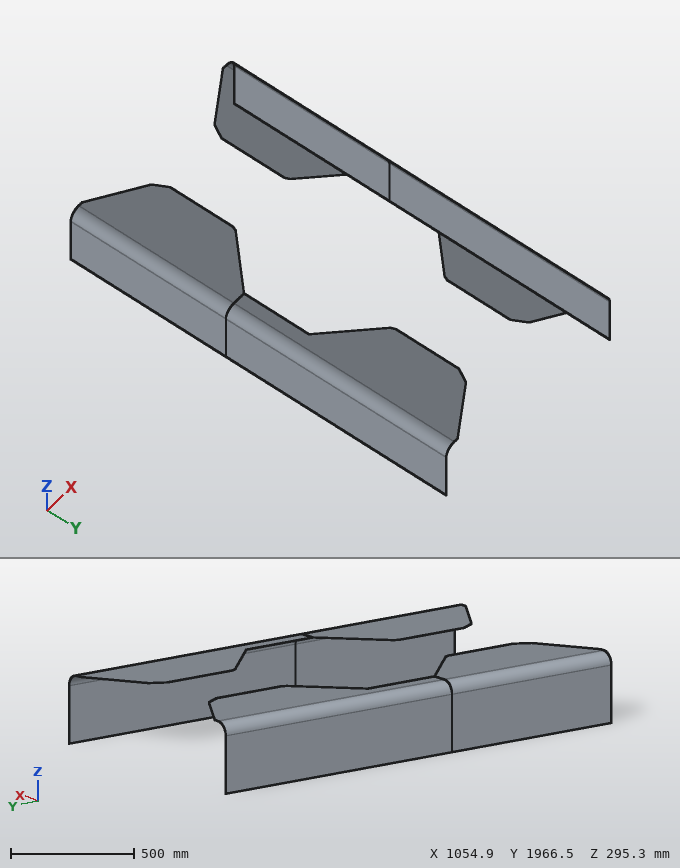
import cadquery as cq

overall_width = 1054.92
overall_length = 1966.55
overall_height = 295.27

thickness = 1.5
inner_bend_radius = 50.8
outer_bend_radius = inner_bend_radius + thickness

flange_reach = 361.8
strip_reach = 118.2
end_reach = 74.5

front_length = 812.6
front_end = -overall_length / 2
rear_end = overall_length / 2
joint = front_end + front_length
strip_length = 340.0
end_taper_length = 183.0

end_corner_chamfer = 44.0
middle_corner_chamfer = 12.7

outer_wall = -overall_width / 2
flange_edge = outer_wall + flange_reach
strip_edge = outer_wall + strip_reach
end_edge = outer_wall + end_reach
diagonal_run = flange_reach - strip_reach


def bent_sheet(start, end):
    """Left-hand angle sheet with a rounded bend and a full-width top flange."""
    sheet = (
        cq.Workplane("XZ", origin=(0, end, 0))
        .moveTo(outer_wall, 0)
        .lineTo(outer_wall, overall_height - outer_bend_radius)
        .radiusArc((outer_wall + outer_bend_radius, overall_height), outer_bend_radius)
        .lineTo(flange_edge, overall_height)
        .lineTo(flange_edge, overall_height - thickness)
        .lineTo(outer_wall + outer_bend_radius, overall_height - thickness)
        .radiusArc((outer_wall + thickness, overall_height - outer_bend_radius), -inner_bend_radius)
        .lineTo(outer_wall + thickness, 0)
        .close()
    )
    return sheet.extrude(end - start)


def trim_flange(sheet, outer_end, strip_end, inner_end, direction):
    """Cut the sheet to the lobe outline; direction points from the middle to the outer end."""
    taper_end = outer_end - direction * end_taper_length
    diagonal_end = strip_end + direction * diagonal_run
    blank = (
        cq.Workplane("XY")
        .moveTo(outer_wall, outer_end)
        .lineTo(end_edge, outer_end)
        .lineTo(flange_edge, taper_end)
        .lineTo(flange_edge, diagonal_end)
        .lineTo(strip_edge, strip_end)
    )
    if inner_end != strip_end:
        blank = blank.lineTo(strip_edge, inner_end)
    blank = blank.lineTo(outer_wall, inner_end).close().extrude(overall_height)
    blank = cut_corner(blank, flange_edge, taper_end, end_corner_chamfer)
    blank = cut_corner(blank, flange_edge, diagonal_end, middle_corner_chamfer)
    return sheet.intersect(blank)


def cut_corner(blank, x, y, chamfer):
    """Chamfer the vertical edge of the blank that stands at (x, y)."""
    corner = cq.selectors.NearestToPointSelector((x, y, overall_height / 2))
    return blank.edges("|Z").edges(corner).chamfer(chamfer)


def front_sheet():
    """Short sheet, whose diagonal starts right at the joint."""
    return trim_flange(bent_sheet(front_end, joint), front_end, joint, joint, -1)


def rear_sheet():
    """Long sheet, with a narrow strip between its diagonal and the joint."""
    sheet = bent_sheet(joint, rear_end)
    return trim_flange(sheet, rear_end, joint + strip_length, joint, 1)


bodies = []
for sheet in (front_sheet(), rear_sheet()):
    bodies.append(sheet.val())
    bodies.append(sheet.mirror("YZ").val())

result = cq.Compound.makeCompound(bodies)